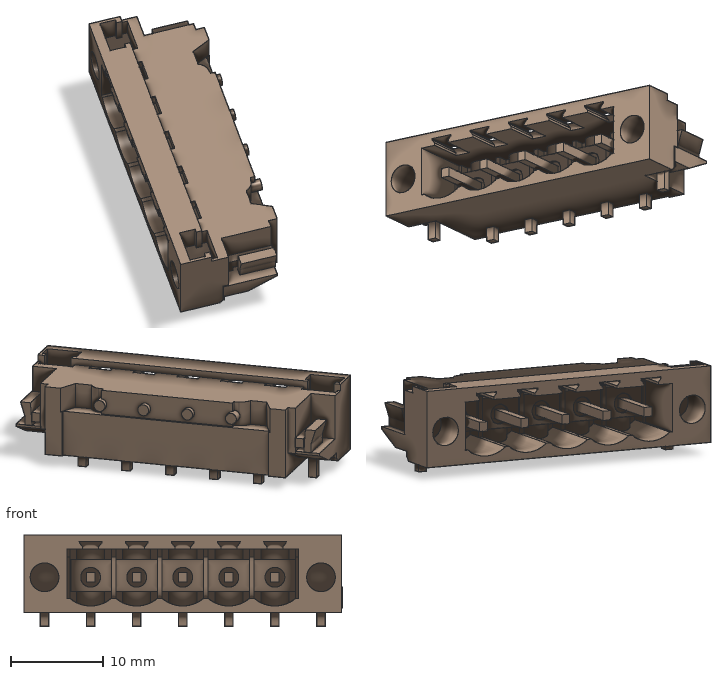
import cadquery as cq


overall_length = 34.6
overall_depth = 12.0
overall_height = 9.93
flank_overhang = 0.1
housing_width = overall_length - flank_overhang
half_width = housing_width / 2
housing_height = 8.45
leg_drop = overall_height - housing_height

contact_count = 5
retention_span = 30.0
retention_x = retention_span / 2
pitch = retention_span / (contact_count + 1)
contact_xs = [(i - (contact_count - 1) / 2) * pitch for i in range(contact_count)]
divider_xs = [x + pitch / 2 for x in contact_xs[:-1]]

pin_width = 0.95
bar_height = 1.05
pin_axis_z = 3.85
contact_tip_y = 0.75
contact_back_y = 10.4
retention_front_y = 5.55
retention_back_y = 11.15

body_half_width = 13.7
shoulder_half_width = retention_x - pin_width / 2
shoulder_back_y = 11.05
rear_top_z = 7.7
step_y = 3.53
flange_back_y = 5.43

flank_front_y = 4.8
flank_back_y = 10.95
flank_top_z = 2.8
flank_tail_z = 2.53
flank_bottom_z = 1.05
flank_ramp_y = 7.6
foot_back_y = 4.9
foot_chamfer = 0.5

lug_front_y = 7.0
lug_top_z = 5.4
lug_neck_z = 3.75
lug_outer_x = 16.8
lug_inner_x = 15.67
lug_stem_outer_x = 16.3
lug_stem_inner_x = 15.5

pocket_half_width = 12.55
pocket_top_z = 6.9
pocket_floor_z = 1.55
pocket_back_y = 8.45
scoop_half_width = 2.25
scoop_bottom_z = 0.73
block_front_y = 6.75
block_bottom_z = 2.3
block_top_z = 5.75
recess_radius = 1.07
recess_depth = 0.35
end_gap = 0.1
column_radius = 1.52
rib_front_y = 6.4
rib_upper_front_y = 7.25
rib_ledge_z = 6.05

groove_back_y = 4.15
groove_neck_half = 0.85
groove_top_half = 1.2
groove_neck_z = 7.15
groove_flare_z = 7.58

screw_diameter = 3.1
screw_depth = 4.15
slot_front_y = 1.15
slot_back_y = 4.25
slot_half_width = 1.95
slot_floor_z = 5.65
tab_front_y = 2.9
tab_gap_half = 1.52

notch_floor_z = 5.0
notch_half_width = 11.95
notch_flat_outer_x = 10.9
notch_flat_inner_x = 9.05
notch_flat_y = 9.9
notch_curve_middle = (8.6, 10.5)
notch_curve_end = (8.03, 10.75)
tongue_half_width = 7.47
tongue_side_y = 10.83
lower_half_width = 11.75
lower_back_y = 11.65
upper_back_y = 11.35
peg_radius = 0.62
peg_axis_z = 6.12
peg_front_y = 10.38


def box(x0, x1, y0, y1, z0, z1):
    """Box between two opposite corners."""
    return cq.Workplane("XY").box(x1 - x0, y1 - y0, z1 - z0, centered=False).translate((x0, y0, z0))


def along_y(outline, y0, y1):
    """Prism from a sketch on the XZ plane, reaching from y0 to y1."""
    return outline.extrude(-(y1 - y0)).translate((0, y0, 0))


def side_profile(points, x0, x1):
    """Prism from (y, z) points, reaching from x0 to x1."""
    return cq.Workplane("YZ").polyline(points).close().extrude(x1 - x0).translate((x0, 0, 0))


def both_ends(solid):
    """The solid together with its mirror image on the other end."""
    return solid.union(solid.mirror("YZ"))


def body_blank():
    """Centre block with its raised front strip."""
    block = box(-body_half_width, body_half_width, 0, overall_depth, 0, rear_top_z)
    strip = box(-body_half_width, body_half_width, 0, step_y, 0, housing_height)
    return block.union(strip)


def shoulder():
    """Wider upper part of the block above the +X flank."""
    return box(body_half_width, shoulder_half_width, 0, shoulder_back_y, flank_tail_z, rear_top_z)


def flange():
    """+X flange with the low flank running back from it."""
    return side_profile(
        [
            (0, 0),
            (foot_back_y - foot_chamfer, 0),
            (foot_back_y, foot_chamfer),
            (foot_back_y, flank_bottom_z),
            (flank_ramp_y, flank_bottom_z),
            (flank_back_y, flank_tail_z),
            (flank_back_y, flank_top_z),
            (flange_back_y, flank_top_z),
            (flange_back_y, rear_top_z),
            (step_y, rear_top_z),
            (step_y, housing_height),
            (0, housing_height),
        ],
        body_half_width,
        half_width,
    )


def flank_skin():
    """Thin layer that makes the +X flank stand proud of its flange."""
    return side_profile(
        [
            (flank_front_y, foot_chamfer),
            (foot_back_y, foot_chamfer),
            (foot_back_y, flank_bottom_z),
            (flank_ramp_y, flank_bottom_z),
            (flank_back_y, flank_tail_z),
            (flank_back_y, flank_top_z),
            (flank_front_y, flank_top_z),
        ],
        half_width,
        half_width + flank_overhang,
    )


def lug():
    """Hooked lug standing on the +X flank."""
    outline = cq.Workplane("XZ").polyline(
        [
            (lug_stem_inner_x, flank_top_z),
            (lug_stem_outer_x, flank_top_z),
            (lug_stem_outer_x, lug_neck_z),
            (lug_outer_x, lug_top_z),
            (lug_inner_x, lug_top_z),
        ]
    ).close()
    return along_y(outline, lug_front_y, shoulder_back_y)


def pocket():
    """Mating pocket, scooped under each contact, less the features left standing at its back."""
    cavity = box(-pocket_half_width, pocket_half_width, 0, pocket_back_y, pocket_floor_z, pocket_top_z)
    for x in contact_xs:
        scoop = (
            cq.Workplane("XZ")
            .moveTo(x - scoop_half_width, pocket_floor_z)
            .threePointArc((x, scoop_bottom_z), (x + scoop_half_width, pocket_floor_z))
            .close()
        )
        cavity = cavity.union(along_y(scoop, 0, pocket_back_y))
    for x in contact_xs:
        cavity = cavity.cut(contact_support(x))
    return cavity.cut(dividing_ribs()).union(end_block_gap())


def end_block_gap():
    """Narrow gap on the outer side of the block at the -X end."""
    outer_x = contact_xs[0] - scoop_half_width
    return box(outer_x, outer_x + end_gap, block_front_y, pocket_back_y, block_bottom_z, block_top_z)


def contact_support(x):
    """Block around one contact, crossed by an upright round column, with a round recess at the contact."""
    block = box(
        x - scoop_half_width, x + scoop_half_width,
        block_front_y, pocket_back_y,
        block_bottom_z, block_top_z,
    )
    column = cq.Workplane("XY").center(x, pocket_back_y).circle(column_radius).extrude(housing_height)
    recess = cq.Workplane("XZ").center(x, pin_axis_z).circle(recess_radius)
    return block.union(column).cut(along_y(recess, block_front_y, block_front_y + recess_depth))


def dividing_ribs():
    """Stepped upright ribs between the contact supports and at both pocket ends."""
    rib_half = pitch / 2 - scoop_half_width
    outer_x = contact_xs[-1] + pitch / 2
    ribs = cq.Workplane("XY")
    for x in [-outer_x, *divider_xs, outer_x]:
        ribs = ribs.union(
            box(x - rib_half, x + rib_half, rib_front_y, pocket_back_y, pocket_floor_z, rib_ledge_z)
        )
        ribs = ribs.union(
            box(x - rib_half, x + rib_half, rib_upper_front_y, pocket_back_y, rib_ledge_z, pocket_top_z)
        )
    return ribs


def coding_groove(x):
    """Flared groove through the pocket roof above one contact."""
    outline = cq.Workplane("XZ").polyline(
        [
            (x - groove_neck_half, pocket_top_z),
            (x + groove_neck_half, pocket_top_z),
            (x + groove_neck_half, groove_neck_z),
            (x + groove_top_half, groove_flare_z),
            (x + groove_top_half, rear_top_z),
            (x - groove_top_half, rear_top_z),
            (x - groove_top_half, groove_flare_z),
            (x - groove_neck_half, groove_neck_z),
        ]
    ).close()
    return along_y(outline, 0, groove_back_y)


def screw_hole():
    """Blind round hole in the +X flange."""
    outline = cq.Workplane("XZ").center(retention_x, pin_axis_z).circle(screw_diameter / 2)
    return along_y(outline, 0, screw_depth)


def nut_slot():
    """Slot open at the top of the +X flange, narrowed by two tabs."""
    left_x = retention_x - slot_half_width
    right_x = retention_x + slot_half_width
    slot = box(left_x, right_x, slot_front_y, slot_back_y, slot_floor_z, housing_height)
    left_tab = box(left_x, retention_x - tab_gap_half, tab_front_y, step_y, slot_floor_z, housing_height)
    right_tab = box(retention_x + tab_gap_half, right_x, tab_front_y, step_y, slot_floor_z, housing_height)
    return slot.cut(left_tab).cut(right_tab)


def rear_notch():
    """Material removed from the back: a shallow full-height cut and a deeper shaped cut above it."""
    shallow = box(-lower_half_width, lower_half_width, lower_back_y, overall_depth, 0, rear_top_z)
    shaped_end = (
        cq.Workplane("XY")
        .moveTo(0, overall_depth)
        .lineTo(notch_half_width, overall_depth)
        .lineTo(notch_flat_outer_x, notch_flat_y)
        .lineTo(notch_flat_inner_x, notch_flat_y)
        .threePointArc(notch_curve_middle, notch_curve_end)
        .lineTo(tongue_half_width, tongue_side_y)
        .lineTo(tongue_half_width, upper_back_y)
        .lineTo(0, upper_back_y)
        .close()
        .extrude(rear_top_z - notch_floor_z)
        .translate((0, 0, notch_floor_z))
    )
    return shallow.union(both_ends(shaped_end))


def rear_peg(x):
    """Round peg reaching back to the rear plane of the housing."""
    return along_y(cq.Workplane("XZ").center(x, peg_axis_z).circle(peg_radius), peg_front_y, overall_depth)


def contact(x):
    """L-shaped contact: a bar into the pocket and a leg down through the housing."""
    return bent_pin(x, contact_tip_y, contact_back_y, contact_back_y - pin_width)


def retention_pin(x):
    """L-shaped retention pin: a bar above the flank and a leg down through it."""
    return bent_pin(x, retention_front_y, retention_back_y, retention_front_y)


def bent_pin(x, front_y, back_y, leg_front_y):
    """Square-edged pin with a bar along Y and a downward leg."""
    left_x = x - pin_width / 2
    right_x = x + pin_width / 2
    top_z = pin_axis_z + bar_height / 2
    bar = box(left_x, right_x, front_y, back_y, top_z - bar_height, top_z)
    leg = box(left_x, right_x, leg_front_y, leg_front_y + pin_width, -leg_drop, top_z)
    return bar.union(leg)


contacts = [contact(x) for x in contact_xs]
retention_pins = [retention_pin(x) for x in (-retention_x, retention_x)]

housing = body_blank()
for end_part in (shoulder(), flange(), lug()):
    housing = housing.union(both_ends(end_part))
housing = housing.union(flank_skin())
housing = housing.cut(pocket())
for groove_x in contact_xs:
    housing = housing.cut(coding_groove(groove_x))
housing = housing.cut(both_ends(screw_hole())).cut(both_ends(nut_slot()))
housing = housing.cut(rear_notch())
for peg_x in divider_xs:
    housing = housing.union(rear_peg(peg_x))
for pin in contacts + retention_pins:
    housing = housing.cut(pin)

result = cq.Compound.makeCompound(
    [
        housing.val(),
        *[pin.val() for pin in contacts],
        *[pin.val() for pin in retention_pins],
    ]
)